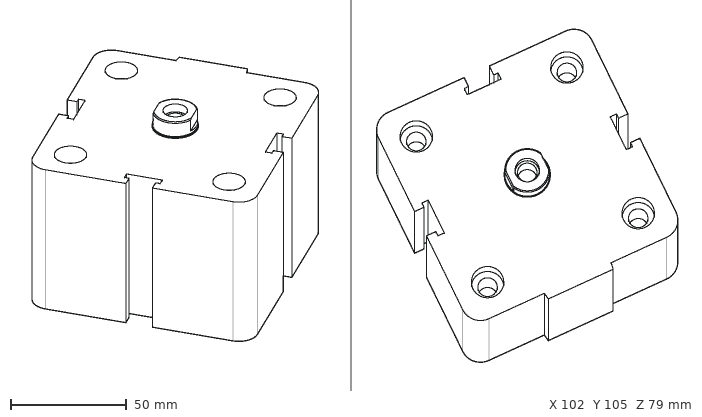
import cadquery as cq

housing_side = 102.0
housing_height = 71.0
corner_radius = 8.5
half_side = housing_side / 2

rib_base_width = 32.0
rib_top_width = 31.0
rib_height = 3.0

slot_mouth_width = 12.0
slot_inner_width = 16.2
slot_lip = 4.5
slot_depth = 7.5

mount_pitch = 72.0
mount_hole_diameter = 8.38
mount_bore_diameter = 14.0
mount_bore_depth = 8.5
mount_hole_depth = 25.0

guide_diameter = 20.0
guide_exposed = 0.75
guide_depth = 16.5
rod_diameter = 19.5
rod_exposed = 8.0
rod_chamfer = 0.5
flats_width = 17.0
flats_start = 2.0
rod_recess_diameter = 10.5
rod_recess_depth = 4.0
rod_thread_diameter = 8.38
rod_thread_depth = 15.0


def t_slot(angle):
    """T-slot cutter along the full height, opening on -Y before it is turned about Z."""
    mouth = cq.Workplane("XY").box(
        slot_mouth_width, slot_depth, housing_height, centered=(True, False, False)
    )
    inner = cq.Workplane("XY").box(
        slot_inner_width, slot_depth - slot_lip, housing_height, centered=(True, False, False)
    )
    cutter = mouth.union(inner.translate((0, slot_lip, 0)))
    return cutter.translate((0, -half_side, 0)).rotate((0, 0, 0), (0, 0, 1), angle)


def make_rib():
    """Tapered rib that stands on the +Y face."""
    return (
        cq.Workplane("XY")
        .polyline([
            (-rib_base_width / 2, half_side),
            (rib_base_width / 2, half_side),
            (rib_top_width / 2, half_side + rib_height),
            (-rib_top_width / 2, half_side + rib_height),
        ])
        .close()
        .extrude(housing_height)
    )


def make_housing():
    body = (
        cq.Workplane("XY")
        .box(housing_side, housing_side, housing_height, centered=(True, True, False))
        .edges("|Z")
        .fillet(corner_radius)
        .union(make_rib())
    )
    for angle in (0, 90, -90):
        body = body.cut(t_slot(angle))
    body = (
        body.faces(">Z")
        .workplane(origin=(0, 0, housing_height))
        .rect(mount_pitch, mount_pitch, forConstruction=True)
        .vertices()
        .cboreHole(mount_hole_diameter, mount_bore_diameter, mount_bore_depth, mount_hole_depth)
    )
    return (
        body.faces(">Z")
        .workplane(origin=(0, 0, housing_height))
        .hole(guide_diameter, guide_depth)
    )


def make_rod():
    """Rod with a thicker guide section, two flats facing +X and -X, and a stepped end hole."""
    guide_length = guide_depth + guide_exposed
    guide = (
        cq.Workplane("XY", origin=(0, 0, housing_height - guide_depth))
        .circle(guide_diameter / 2)
        .extrude(guide_length)
        .faces(">Z")
        .chamfer((guide_diameter - rod_diameter) / 2)
    )
    tip = (
        cq.Workplane("XY", origin=(0, 0, housing_height + guide_exposed))
        .circle(rod_diameter / 2)
        .extrude(rod_exposed - guide_exposed)
        .faces(">Z")
        .chamfer(rod_chamfer)
    )
    flats_length = rod_exposed - flats_start
    across_flats = cq.Workplane("XY", origin=(0, 0, housing_height + flats_start)).box(
        flats_width, guide_diameter, flats_length, centered=(True, True, False)
    )
    flats_ring = (
        cq.Workplane("XY", origin=(0, 0, housing_height + flats_start))
        .circle(guide_diameter)
        .extrude(flats_length)
        .cut(across_flats)
    )
    return (
        guide.union(tip)
        .cut(flats_ring)
        .faces(">Z")
        .workplane(origin=(0, 0, housing_height + rod_exposed))
        .cboreHole(rod_thread_diameter, rod_recess_diameter, rod_recess_depth, rod_thread_depth)
    )


housing = make_housing()
rod = make_rod()
result = cq.Compound.makeCompound([housing.solids().val(), rod.solids().val()])